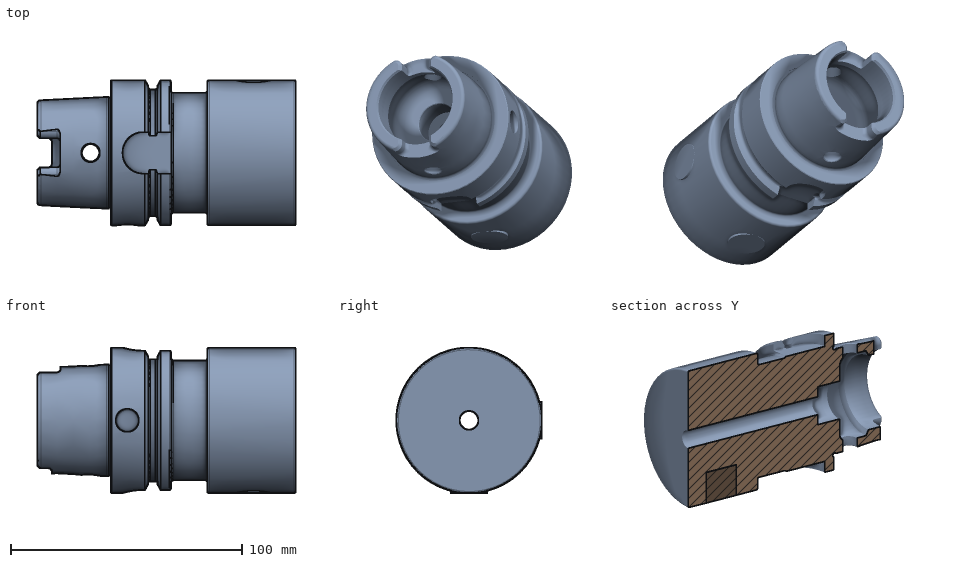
import cadquery as cq
import math


SHANK_LENGTH = 31.9
HEAD_END = 80.0
NOSE_X = -SHANK_LENGTH

GAUGE_RADIUS = 24.0
GAUGE_DISTANCE = 6.3
TAPER_SLOPE = 1 / 20
TAPER_END_X = -2.1
NOSE_FILLET = 1.5
DRIVE_SLOT_FRONT_CHAMFER = 1.25

UNDERCUT_START_X = -1.0
UNDERCUT_END_X = 0.4
UNDERCUT_DEPTH = 0.35
UNDERCUT_OUTER_RADIUS = 25.2
UNDERCUT_FILLET = 0.7

BODY_RADIUS = 31.5
FLANGE_WIDTH = 26.0
FLANGE_FRONT_CHAMFER = 0.3
FLANGE_BACK_FILLET = 0.8
GROOVE_CENTRE_X = 18.13
GROOVE_TOP_WIDTH = 6.8
GROOVE_FLOOR_WIDTH = 3.9
GROOVE_FLOOR_RADIUS = 27.5
GROOVE_FLANK_ANGLE = 30.0
GROOVE_FLOOR_FILLET = 0.8

NECK_RADIUS = 26.0
NECK_FLANGE_FILLET = 0.9
NECK_HEAD_FILLET = 0.6
HEAD_START_X = 41.6
HEAD_BACK_FILLET = 1.0
HEAD_END_FILLET = 0.8

BORE_RADIUS = 17.0
BORE_CHAMFER_HEIGHT = 0.6
BORE_CHAMFER_LENGTH = 1.0
BORE_SHOULDER_DEPTH = 13.0
CHAMBER_RADIUS = 19.4
SHOULDER_ANGLE = 60.0
BORE_DEPTH = 28.6
BORE_FLOOR_FILLET = 3.8
COUNTERBORE_RADIUS = 8.6
COUNTERBORE_CHAMFER = 0.3
COUNTERBORE_DEPTH = 12.0
THROUGH_RADIUS = 4.0

DRIVE_SLOT_HALF_WIDTH = 6.27
DRIVE_SLOT_TOP_DEPTH = 10.0
DRIVE_SLOT_BOTTOM_DEPTH = 6.3
DRIVE_SLOT_LAND_HEIGHT = 20.8
DRIVE_SLOT_ROUNDING = 3.0
DRIVE_SLOT_END_FILLET = 1.5
DRIVE_SLOT_FLOOR_HEIGHT = 10.0

COOLANT_HOLE_X = -8.8
COOLANT_HOLE_RADIUS = 3.75
COOLANT_HOLE_CHAMFER = 0.3
CHIP_HOLE_X = 7.07
CHIP_HOLE_RADIUS = 5.0
CHIP_HOLE_DEPTH = 4.6
CHIP_HOLE_FLOOR_FILLET = 0.4
KEYWAY_HALF_WIDTH = 9.0
KEYWAY_START_X = 5.0
KEYWAY_FLOOR_HEIGHT = 26.5

SCREW_X = 61.7
SCREW_RADIUS = 8.0
SCREW_LENGTH = 14.0

CLEARANCE = 10.0


def taper_radius(x):
    return GAUGE_RADIUS + TAPER_SLOPE * (x + GAUGE_DISTANCE)


def revolve_about_x(profile):
    """Revolve a closed profile drawn as (X, radius)."""
    return profile.close().revolve(360, (0, 0, 0), (1, 0, 0))


def shank_blank():
    end_radius = taper_radius(TAPER_END_X)
    return revolve_about_x(
        cq.Workplane("XY")
        .moveTo(NOSE_X, 0)
        .lineTo(NOSE_X, taper_radius(NOSE_X) - NOSE_FILLET)
        .radiusArc((NOSE_X + NOSE_FILLET, taper_radius(NOSE_X + NOSE_FILLET)), NOSE_FILLET)
        .lineTo(TAPER_END_X, end_radius)
        .lineTo(0, end_radius)
        .lineTo(0, 0)
    )


def nose_arm(depth):
    """Material kept on the +Y side of a slot, with its front edges chamfered."""
    wall = DRIVE_SLOT_HALF_WIDTH
    land = DRIVE_SLOT_LAND_HEIGHT
    rounding = DRIVE_SLOT_ROUNDING
    outer_y = BODY_RADIUS + CLEARANCE
    return (
        cq.Workplane("YZ", origin=(NOSE_X, 0, 0))
        .moveTo(wall, 0)
        .lineTo(wall, land - rounding)
        .radiusArc((wall + rounding, land), rounding)
        .lineTo(outer_y, land)
        .lineTo(outer_y, 0)
        .close()
        .extrude(depth)
        .faces("<X").chamfer(DRIVE_SLOT_FRONT_CHAMFER)
    )


def corner_undercut():
    """Ring cutter that goes into both the shank and the gauge face."""
    root = taper_radius(TAPER_END_X) - UNDERCUT_DEPTH
    return revolve_about_x(
        cq.Workplane("XY")
        .moveTo(UNDERCUT_START_X, UNDERCUT_OUTER_RADIUS)
        .lineTo(UNDERCUT_START_X, root)
        .lineTo(UNDERCUT_END_X - UNDERCUT_FILLET, root)
        .radiusArc((UNDERCUT_END_X, root + UNDERCUT_FILLET), -UNDERCUT_FILLET)
        .lineTo(UNDERCUT_END_X, UNDERCUT_OUTER_RADIUS)
    )


def drive_slot(depth):
    """Cutter for a nose slot on the +Z side, filleted at its inner end."""
    height = BODY_RADIUS - DRIVE_SLOT_FLOOR_HEIGHT
    block = (
        cq.Workplane("XY")
        .box(depth + CLEARANCE, 2 * BODY_RADIUS, height, centered=(False, True, False))
        .translate((NOSE_X - CLEARANCE, 0, DRIVE_SLOT_FLOOR_HEIGHT))
    )
    arm = nose_arm(depth)
    slot = block.cut(arm).cut(arm.mirror("XZ"))
    return slot.faces(">X").edges().fillet(DRIVE_SLOT_END_FILLET)


def shank():
    top_slot = drive_slot(DRIVE_SLOT_TOP_DEPTH)
    bottom_slot = drive_slot(DRIVE_SLOT_BOTTOM_DEPTH).rotate((0, 0, 0), (1, 0, 0), 180)
    drilled = shank_blank().cut(top_slot).cut(bottom_slot).cut(coolant_holes())
    hole_space = cq.selectors.BoxSelector(
        (COOLANT_HOLE_X - COOLANT_HOLE_RADIUS, -COOLANT_HOLE_RADIUS, -BODY_RADIUS),
        (COOLANT_HOLE_X + COOLANT_HOLE_RADIUS, COOLANT_HOLE_RADIUS, BODY_RADIUS),
    )
    return drilled.edges(hole_space).edges("not %LINE").chamfer(COOLANT_HOLE_CHAMFER)


def flange():
    disc = (
        cq.Workplane("YZ").circle(BODY_RADIUS).extrude(FLANGE_WIDTH)
        .faces("<X").chamfer(FLANGE_FRONT_CHAMFER)
        .faces(">X").edges().fillet(FLANGE_BACK_FILLET)
    )
    return disc.cut(gripper_groove())


def gripper_groove():
    """Ring cutter: sloping flanks above a straight-walled floor channel."""
    half_top = GROOVE_TOP_WIDTH / 2
    half_floor = GROOVE_FLOOR_WIDTH / 2
    flank_height = (half_top - half_floor) / math.tan(math.radians(GROOVE_FLANK_ANGLE))
    flank_radius = BODY_RADIUS - flank_height
    fillet = GROOVE_FLOOR_FILLET
    floor = GROOVE_FLOOR_RADIUS
    outer = BODY_RADIUS + CLEARANCE
    return revolve_about_x(
        cq.Workplane("XY", origin=(GROOVE_CENTRE_X, 0, 0))
        .moveTo(-half_top, outer)
        .lineTo(-half_top, BODY_RADIUS)
        .lineTo(-half_floor, flank_radius)
        .lineTo(-half_floor, floor + fillet)
        .radiusArc((-half_floor + fillet, floor), -fillet)
        .lineTo(half_floor - fillet, floor)
        .radiusArc((half_floor, floor + fillet), -fillet)
        .lineTo(half_floor, flank_radius)
        .lineTo(half_top, BODY_RADIUS)
        .lineTo(half_top, outer)
    )


def neck_and_head():
    flange_fillet = NECK_FLANGE_FILLET
    head_fillet = NECK_HEAD_FILLET
    return revolve_about_x(
        cq.Workplane("XY")
        .moveTo(FLANGE_WIDTH, 0)
        .lineTo(FLANGE_WIDTH, NECK_RADIUS + flange_fillet)
        .radiusArc((FLANGE_WIDTH + flange_fillet, NECK_RADIUS), -flange_fillet)
        .lineTo(HEAD_START_X - head_fillet, NECK_RADIUS)
        .radiusArc((HEAD_START_X, NECK_RADIUS + head_fillet), -head_fillet)
        .lineTo(HEAD_START_X, BODY_RADIUS - HEAD_BACK_FILLET)
        .radiusArc((HEAD_START_X + HEAD_BACK_FILLET, BODY_RADIUS), HEAD_BACK_FILLET)
        .lineTo(HEAD_END - HEAD_END_FILLET, BODY_RADIUS)
        .radiusArc((HEAD_END, BODY_RADIUS - HEAD_END_FILLET), HEAD_END_FILLET)
        .lineTo(HEAD_END, 0)
    )


def inner_bore():
    """Stepped bore: mouth, clamping chamber, counterbore and through hole."""
    shoulder_x = NOSE_X + BORE_SHOULDER_DEPTH
    shoulder_length = (CHAMBER_RADIUS - BORE_RADIUS) / math.tan(math.radians(SHOULDER_ANGLE))
    floor_x = NOSE_X + BORE_DEPTH
    return revolve_about_x(
        cq.Workplane("XY")
        .moveTo(NOSE_X, 0)
        .lineTo(NOSE_X, BORE_RADIUS + BORE_CHAMFER_HEIGHT)
        .lineTo(NOSE_X + BORE_CHAMFER_LENGTH, BORE_RADIUS)
        .lineTo(shoulder_x, BORE_RADIUS)
        .lineTo(shoulder_x + shoulder_length, CHAMBER_RADIUS)
        .lineTo(floor_x - BORE_FLOOR_FILLET, CHAMBER_RADIUS)
        .radiusArc((floor_x, CHAMBER_RADIUS - BORE_FLOOR_FILLET), BORE_FLOOR_FILLET)
        .lineTo(floor_x, COUNTERBORE_RADIUS + COUNTERBORE_CHAMFER)
        .lineTo(floor_x + COUNTERBORE_CHAMFER, COUNTERBORE_RADIUS)
        .lineTo(floor_x + COUNTERBORE_DEPTH, COUNTERBORE_RADIUS)
        .lineTo(floor_x + COUNTERBORE_DEPTH, THROUGH_RADIUS)
        .lineTo(HEAD_END, THROUGH_RADIUS)
        .lineTo(HEAD_END, 0)
    )


def coolant_holes():
    """One straight hole through both walls of the shank, along Z."""
    return (
        cq.Workplane("XY").center(COOLANT_HOLE_X, 0).circle(COOLANT_HOLE_RADIUS)
        .extrude(BODY_RADIUS, both=True)
    )


def chip_hole():
    """Blind round pocket on the -Y side of the flange."""
    return (
        cq.Workplane("XZ", origin=(0, CHIP_HOLE_DEPTH - BODY_RADIUS, 0))
        .center(CHIP_HOLE_X, 0).circle(CHIP_HOLE_RADIUS).extrude(CLEARANCE)
        .faces(">Y").edges().fillet(CHIP_HOLE_FLOOR_FILLET)
    )


def keyway():
    """Round-ended keyway on the +Z side, open to the back of the flange."""
    arc_x = KEYWAY_START_X + KEYWAY_HALF_WIDTH
    open_x = HEAD_START_X - NECK_HEAD_FILLET
    return (
        cq.Workplane("XY", origin=(0, 0, KEYWAY_FLOOR_HEIGHT))
        .moveTo(open_x, -KEYWAY_HALF_WIDTH)
        .lineTo(open_x, KEYWAY_HALF_WIDTH)
        .lineTo(arc_x, KEYWAY_HALF_WIDTH)
        .threePointArc((KEYWAY_START_X, 0), (arc_x, -KEYWAY_HALF_WIDTH))
        .close()
        .extrude(CLEARANCE)
    )


def clamping_screw(angle):
    """Plain screw with its flat end level with the head; angle is about X from +Z."""
    upright = (
        cq.Workplane("XY", origin=(SCREW_X, 0, BODY_RADIUS - SCREW_LENGTH))
        .circle(SCREW_RADIUS).extrude(SCREW_LENGTH)
    )
    return upright.rotate((0, 0, 0), (1, 0, 0), angle)


def holder(screws):
    body = shank().union(flange()).union(neck_and_head()).cut(corner_undercut())
    body = body.cut(inner_bore()).cut(chip_hole())
    for angle in (0, 180):
        body = body.cut(keyway().rotate((0, 0, 0), (1, 0, 0), angle))
    for screw in screws:
        body = body.cut(screw)
    return body


SCREW_ANGLES = (-90, 180)
clamping_screws = [clamping_screw(angle) for angle in SCREW_ANGLES]
tool_holder = holder(clamping_screws)

result = cq.Compound.makeCompound(
    [tool_holder.val(), *[screw.val() for screw in clamping_screws]]
)